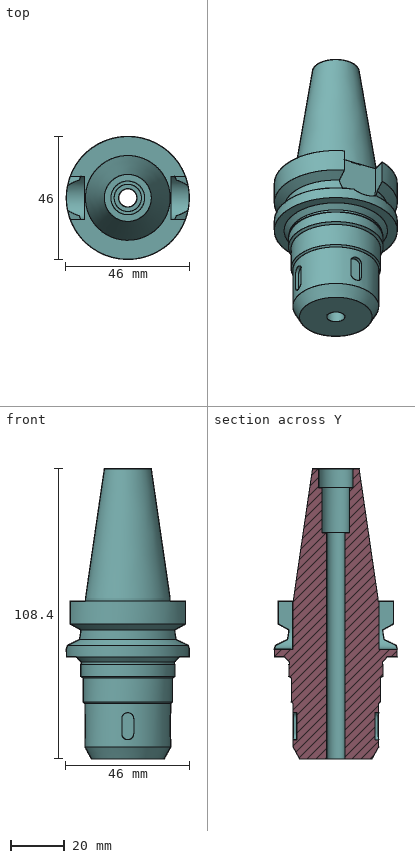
import cadquery as cq

total_height = 108.4

nose_tip_radius = 13.5
nose_radius = 16.0
nose_chamfer_top = 4.5
body_radius = 16.7
body_bottom = 21.4
collar_radius = 17.7
collar_bottom = 30.9
collar_top = 35.2
neck_radius = 17.5
neck_top = 36.2
edge_chamfer = 0.7

flange_radius = 23.0
flange_bottom = 38.2
flange_cone_radius = 19.3
lower_rim_top = 42.5
groove_radius = 19.3
groove_bottom = 44.7
groove_top = 48.2
upper_rim_bottom = 50.4
flange_top = 59.0

taper_large_radius = 15.8
taper_small_radius = 8.8
taper_start = 60.0

through_radius = 3.4
bore_radius = 6.3
bore_depth = 7.0
inner_bore_radius = 5.1
inner_bore_depth = 23.8

drive_slot_count = 2
drive_slot_width = 16.0
drive_slot_bottom = 41.1
drive_slot_face = 16.2

spanner_slot_count = 4
spanner_slot_width = 4.4
spanner_slot_bottom = 7.3
spanner_slot_top = 17.3
spanner_slot_depth = 1.4


def make_body():
    """Revolve the outer profile around Z."""
    profile = [
        (0, 0),
        (nose_tip_radius, 0),
        (nose_radius, nose_chamfer_top),
        (nose_radius, body_bottom - edge_chamfer),
        (body_radius, body_bottom),
        (body_radius, collar_bottom - edge_chamfer),
        (collar_radius, collar_bottom),
        (collar_radius, collar_top),
        (neck_radius, collar_top),
        (neck_radius, neck_top),
        (flange_cone_radius, flange_bottom),
        (flange_radius, flange_bottom),
        (flange_radius, lower_rim_top),
        (groove_radius, groove_bottom),
        (groove_radius, groove_top),
        (flange_radius, upper_rim_bottom),
        (flange_radius, flange_top),
        (taper_large_radius, flange_top),
        (taper_large_radius, taper_start),
        (taper_small_radius, total_height),
        (0, total_height),
    ]
    return cq.Workplane("XZ").polyline(profile).close().revolve(360, (0, 0, 0), (0, 1, 0))


def cut_bore(part):
    """Cut the stepped bore down from the taper end."""
    steps = [
        (bore_radius, bore_depth),
        (inner_bore_radius, inner_bore_depth),
        (through_radius, total_height),
    ]
    for radius, depth in steps:
        step = cq.Workplane("XY", origin=(0, 0, total_height - depth)).circle(radius).extrude(depth)
        part = part.cut(step)
    return part


def drive_slot():
    """Cutter for the round-bottomed drive slot on +X."""
    half_width = drive_slot_width / 2
    arc_height = drive_slot_bottom + half_width
    return (
        cq.Workplane("YZ", origin=(drive_slot_face, 0, 0))
        .moveTo(-half_width, flange_top)
        .lineTo(-half_width, arc_height)
        .threePointArc((0, drive_slot_bottom), (half_width, arc_height))
        .lineTo(half_width, flange_top)
        .close()
        .extrude(flange_radius)
    )


def spanner_slot():
    """Cutter for the round-ended spanner slot on +X."""
    middle = (spanner_slot_bottom + spanner_slot_top) / 2
    length = spanner_slot_top - spanner_slot_bottom
    return (
        cq.Workplane("YZ", origin=(nose_radius - spanner_slot_depth, 0, middle))
        .slot2D(length, spanner_slot_width, 90)
        .extrude(2 * spanner_slot_depth)
    )


def cut_around(part, cutter, count):
    """Cut evenly spaced copies of the cutter around Z."""
    for index in range(count):
        part = part.cut(cutter.rotate((0, 0, 0), (0, 0, 1), index * 360 / count))
    return part


result = cut_bore(make_body())
result = cut_around(result, drive_slot(), drive_slot_count)
result = cut_around(result, spanner_slot(), spanner_slot_count)